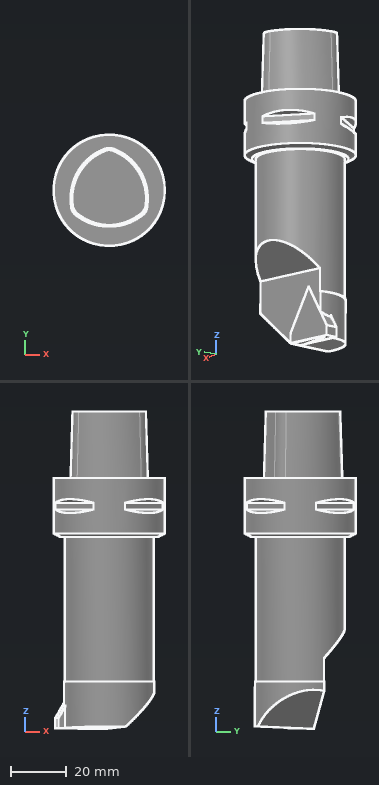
import cadquery as cq
import math


shank_length = 23.8
lobe_tip_radius = 15.2
flat_middle_radius = 13.1
lobe_half_width = 2.3
lobe_tip_rise = 0.6
shank_end_scale = 0.95
lobe_count = 3

flange_diameter = 40.0
flange_height = 20.0
flange_bevel_height = 1.4
flange_bevel_width = 2.6
slot_count = 4
slot_floor_distance = 17.5
slot_center_z = -10.1
slot_floor_height = 2.4
slot_mouth_height = 5.0

bar_diameter = 32.0
head_diameter = 32.5
head_shift = 0.1
tool_reach = 90.2
head_top = -73.2
head_relief_angle = 2.5
relief_lowest_y = 4.8

rake_angle = 13.7
rake_offset = 5.1
rake_top = -64.8

bevel_direction = 18.0
bevel_rise = 0.87

insert_thickness = 4.9
insert_half_width = 9.2
insert_center = -9.5
insert_apex_z = -70.6
insert_corner_z = -86.3
insert_bottom_z = -90.0

flange_radius = flange_diameter / 2
large = 2 * tool_reach


def polar(radius, angle, sideways=0.0):
    """Point at a radius along a direction, shifted sideways from it."""
    a = math.radians(angle)
    return (
        radius * math.cos(a) - sideways * math.sin(a),
        radius * math.sin(a) + sideways * math.cos(a),
    )


def lobed_outline(plane, scale):
    """Closed outline of alternating tight lobe arcs and wide side arcs, one lobe toward +Y."""
    tip = lobe_tip_radius * scale
    joint = (lobe_tip_radius - lobe_tip_rise) * scale
    side = lobe_half_width * scale
    flat = flat_middle_radius * scale
    pitch = 360 / lobe_count
    outline = plane.moveTo(*polar(joint, 90, -side))
    for i in range(lobe_count):
        angle = 90 + i * pitch
        outline = outline.threePointArc(polar(tip, angle), polar(joint, angle, side))
        next_joint = polar(joint, angle + pitch, -side)
        outline = outline.threePointArc(polar(flat, angle + pitch / 2), next_joint)
    return outline.close()


def make_shank():
    base = lobed_outline(cq.Workplane("XY"), 1.0)
    return lobed_outline(base.workplane(offset=shank_length), shank_end_scale).loft(ruled=True)


def make_gripper_slot(angle):
    """Flat-floored slot that widens outward, to be cut across the flange rim."""
    floor = slot_floor_height / 2
    mouth = slot_mouth_height / 2
    profile = [
        (slot_floor_distance, -floor),
        (flange_radius, -mouth),
        (flange_radius, mouth),
        (slot_floor_distance, floor),
    ]
    slot = cq.Workplane("XZ").polyline(profile).close().extrude(flange_radius, both=True)
    return slot.translate((0, 0, slot_center_z)).rotate((0, 0, 0), (0, 0, 1), angle)


def make_flange():
    bevel_bottom = -flange_height - flange_bevel_height
    profile = [
        (0, 0),
        (flange_radius, 0),
        (flange_radius, -flange_height),
        (flange_radius - flange_bevel_width, bevel_bottom),
        (0, bevel_bottom),
    ]
    flange = cq.Workplane("XZ").polyline(profile).close().revolve(360, (0, 0), (0, 1))
    for i in range(slot_count):
        flange = flange.cut(make_gripper_slot(45 + i * 360 / slot_count))
    return flange


def make_rake_cut():
    """Material removed in front of the rake face and under its 45 degree run-out."""
    profile = [
        (rake_offset, -large),
        (rake_offset, rake_top),
        (rake_offset + bar_diameter, rake_top + bar_diameter),
        (rake_offset + bar_diameter, -large),
    ]
    cut = cq.Workplane("YZ").polyline(profile).close().extrude(large, both=True)
    return cut.rotate((0, 0, 0), (0, 0, 1), rake_angle)


def make_bevel_cut():
    """Wedge removed from the lower side of the head."""
    profile = [
        (0, -tool_reach),
        (head_diameter, -tool_reach + bevel_rise * head_diameter),
        (head_diameter, -large),
        (0, -large),
    ]
    cut = cq.Workplane("XZ").polyline(profile).close().extrude(large, both=True)
    return cut.rotate((0, 0, 0), (0, 0, 1), bevel_direction)


def make_relief_cut():
    """Space below the end face, which rises slightly away from the rake face."""
    block = cq.Workplane("XY").box(large, large, large, centered=(True, True, False))
    block = block.translate((0, 0, -large)).rotate((0, 0, 0), (1, 0, 0), -head_relief_angle)
    return block.translate((0, relief_lowest_y, -tool_reach))


def make_insert():
    outline = [
        (insert_center, insert_apex_z),
        (insert_center + insert_half_width, insert_corner_z),
        (insert_center + insert_half_width, insert_bottom_z),
        (insert_center - insert_half_width, insert_bottom_z),
        (insert_center - insert_half_width, insert_corner_z),
    ]
    prism = cq.Workplane("XZ").polyline(outline).close().extrude(insert_thickness)
    return prism.translate((0, rake_offset, 0)).rotate((0, 0, 0), (0, 0, 1), rake_angle)


def make_holder():
    """Shank, flange, bar and the slightly thicker cutting end in one piece."""
    bar = cq.Workplane("XY").circle(bar_diameter / 2).extrude(head_top)
    head = cq.Workplane("XY", origin=(0, -head_shift, head_top)).circle(head_diameter / 2)
    head = head.extrude(-large - head_top)
    holder = make_shank().union(make_flange()).union(bar).union(head)
    for cut in (make_rake_cut(), make_bevel_cut(), make_relief_cut(), make_insert()):
        holder = holder.cut(cut)
    return holder


holder = make_holder()
insert = make_insert()

result = cq.Compound.makeCompound([holder.solids().val(), insert.val()])